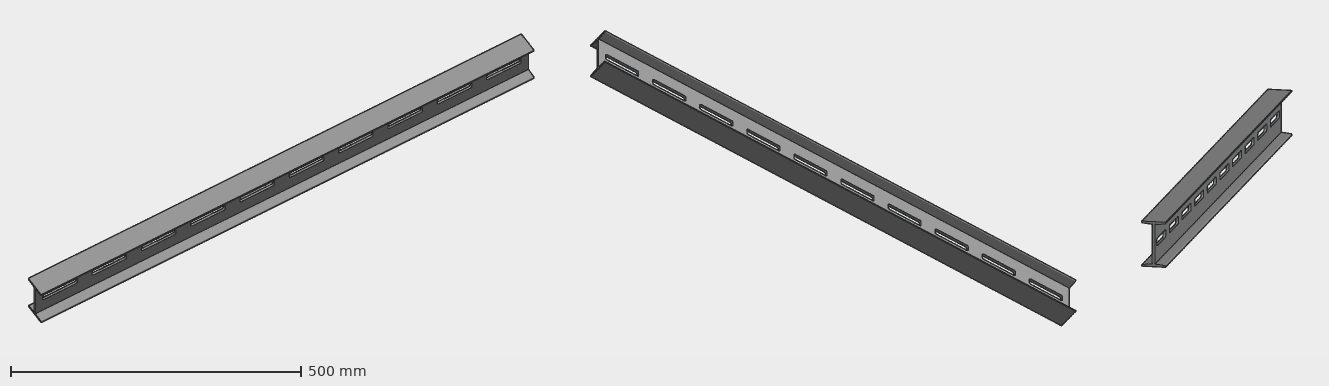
import cadquery as cq

length = 1000.0
width = 42.0
height = 80.0

web_thickness = 5.0
flange_root_thickness = 5.0
flange_tip_thickness = 3.2
tip_radius = 1.5

slot_count = 10
slot_length = 70.0
slot_height = 13.0
slot_corner_radius = 3.0
slot_pitch = length / slot_count


def make_beam():
    """I-section with tapered flanges, centred on the origin and running along Y."""
    half_width = width / 2
    half_web = web_thickness / 2
    half_height = height / 2
    top_right = [
        (half_web, half_height - flange_root_thickness),
        (half_width, half_height - flange_tip_thickness),
        (half_width, half_height),
    ]
    right_side = [(x, -z) for x, z in reversed(top_right)] + top_right
    left_side = [(-x, z) for x, z in reversed(right_side)]
    beam = (
        cq.Workplane("XZ")
        .polyline(right_side + left_side)
        .close()
        .extrude(length / 2, both=True)
    )

    tips = [
        edge for edge in beam.edges("|Y").vals()
        if abs(edge.Center().x) > width / 4 and abs(edge.Center().z) < half_height - tip_radius
    ]
    return beam.newObject(tips).fillet(tip_radius)


def make_slots():
    """Rounded slots running along the beam through the web."""
    return (
        cq.Workplane("YZ")
        .rarray(slot_pitch, 10, slot_count, 1)
        .rect(slot_length, slot_height)
        .extrude(web_thickness, both=True)
        .edges("|X")
        .fillet(slot_corner_radius)
    )


result = make_beam().cut(make_slots())